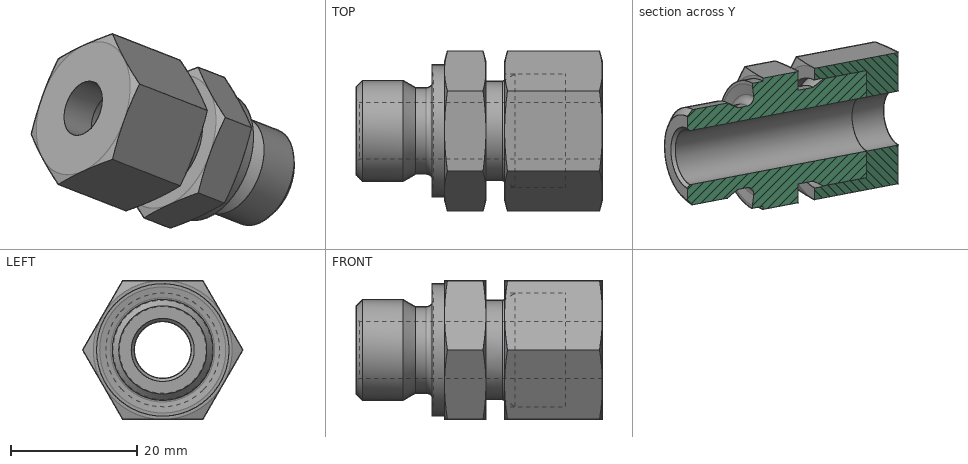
import cadquery as cq
import math


TOTAL_LENGTH = 39.0
STUD_THREAD_END = 7.45
FLANGE_START = 12.0
HEX_START = 14.0
HEX_END = 20.55
RELIEF_END = 23.2
NUT_START = 23.5
SPIGOT_END = 33.15

BORE_RADIUS = 4.5
STUD_RADIUS = 8.0
NECK_RADIUS = 6.85
FLANGE_RADIUS = 10.5
SEAL_EDGE_RADIUS = 10.0
RELIEF_RADIUS = 7.88
SPIGOT_RADIUS = 9.0

HEX_SIDES = 6
ACROSS_FLATS = 22.0
HEX_CHAMFER_ANGLE = 15.0
STUD_CHAMFER = 1.0
BORE_CHAMFER = 0.5
RUNOUT_ANGLE = 30.0
NECK_FILLET_RADIUS = 1.2
SEAL_FACE_TILT = 8.0


def revolve_about_x(open_profile):
    """Close a profile along the X axis and turn it into a solid."""
    return open_profile.close().revolve(360, (0, 0, 0), (1, 0, 0))


def taper_length(radius_change, angle):
    """Length along X of a cone that makes the given angle with the axis."""
    return radius_change / math.tan(math.radians(angle))


def chamfered_hexagon(start, end):
    """Hexagonal prism with flats facing +Z and -Z and both ends turned to a cone."""
    flat_radius = ACROSS_FLATS / 2
    corner_radius = flat_radius / math.cos(math.pi / HEX_SIDES)
    chamfer_length = (corner_radius - flat_radius) * math.tan(math.radians(HEX_CHAMFER_ANGLE))
    prism = (
        cq.Workplane("YZ", origin=(start, 0, 0))
        .polygon(HEX_SIDES, 2 * corner_radius)
        .extrude(end - start)
    )
    turned_blank = revolve_about_x(
        cq.Workplane("XY")
        .moveTo(start, 0)
        .lineTo(start, flat_radius)
        .lineTo(start + chamfer_length, corner_radius)
        .lineTo(end - chamfer_length, corner_radius)
        .lineTo(end, flat_radius)
        .lineTo(end, 0)
    )
    return prism.intersect(turned_blank)


def cylinder(start, end, radius):
    """Cylinder along the X axis between two positions."""
    return cq.Workplane("YZ", origin=(start, 0, 0)).circle(radius).extrude(end - start)


def make_stud():
    """Stud end with chamfered tip, undercut neck and flange with a hollow sealing face.

    The fillet at the foot of the neck is tangent to the neck and to the conical sealing face.
    """
    tilt = math.radians(SEAL_FACE_TILT)
    neck_start = STUD_THREAD_END + taper_length(STUD_RADIUS - NECK_RADIUS, RUNOUT_ANGLE)
    seal_root_radius = NECK_RADIUS + NECK_FILLET_RADIUS * (1 + math.sin(tilt))
    seal_root_x = FLANGE_START + (SEAL_EDGE_RADIUS - seal_root_radius) * math.tan(tilt)
    neck_end = seal_root_x - NECK_FILLET_RADIUS * math.cos(tilt)
    half_turn = (math.pi / 2 + tilt) / 2
    fillet_middle = (
        neck_end + NECK_FILLET_RADIUS * math.sin(half_turn),
        NECK_RADIUS + NECK_FILLET_RADIUS * (1 - math.cos(half_turn)),
    )
    return revolve_about_x(
        cq.Workplane("XY")
        .moveTo(0, 0)
        .lineTo(0, STUD_RADIUS - STUD_CHAMFER)
        .lineTo(STUD_CHAMFER, STUD_RADIUS)
        .lineTo(STUD_THREAD_END, STUD_RADIUS)
        .lineTo(neck_start, NECK_RADIUS)
        .lineTo(neck_end, NECK_RADIUS)
        .threePointArc(fillet_middle, (seal_root_x, seal_root_radius))
        .lineTo(FLANGE_START, SEAL_EDGE_RADIUS)
        .lineTo(FLANGE_START, FLANGE_RADIUS)
        .lineTo(HEX_START, FLANGE_RADIUS)
        .lineTo(HEX_START, 0)
    )


def make_spigot():
    """Outlet spigot: thread relief next to the hexagon, then a taper up to the thread."""
    thread_start = RELIEF_END + taper_length(SPIGOT_RADIUS - RELIEF_RADIUS, RUNOUT_ANGLE)
    return revolve_about_x(
        cq.Workplane("XY")
        .moveTo(HEX_END, 0)
        .lineTo(HEX_END, RELIEF_RADIUS)
        .lineTo(RELIEF_END, RELIEF_RADIUS)
        .lineTo(thread_start, SPIGOT_RADIUS)
        .lineTo(SPIGOT_END, SPIGOT_RADIUS)
        .lineTo(SPIGOT_END, 0)
    )


def make_bore():
    """Through bore with a countersunk mouth in the stud face."""
    return revolve_about_x(
        cq.Workplane("XY")
        .moveTo(0, 0)
        .lineTo(0, BORE_RADIUS + BORE_CHAMFER)
        .lineTo(BORE_CHAMFER, BORE_RADIUS)
        .lineTo(TOTAL_LENGTH, BORE_RADIUS)
        .lineTo(TOTAL_LENGTH, 0)
    )


def make_coupling_body():
    """Stud, hexagon and spigot in one piece, bored through."""
    hexagon = chamfered_hexagon(HEX_START, HEX_END)
    return make_stud().union(hexagon).union(make_spigot()).cut(make_bore())


def make_nut():
    """Union nut, bored to take the threaded spigot and drilled through."""
    thread_bore = cylinder(NUT_START, SPIGOT_END, SPIGOT_RADIUS)
    return chamfered_hexagon(NUT_START, TOTAL_LENGTH).cut(thread_bore).cut(make_bore())


coupling_body = make_coupling_body()
nut = make_nut()

result = cq.Compound.makeCompound([coupling_body.val(), nut.val()])